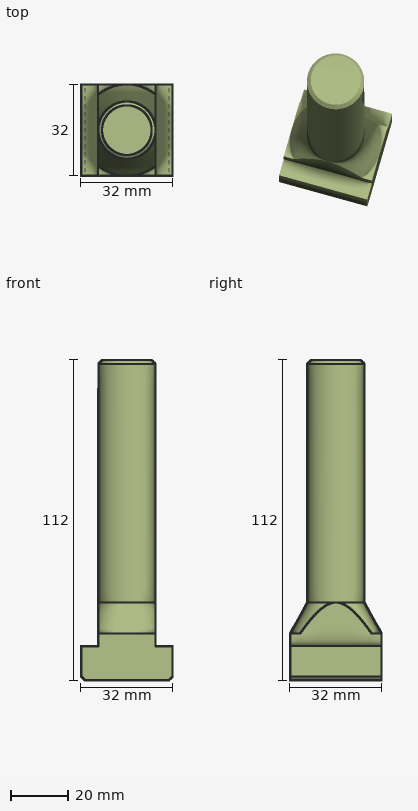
import cadquery as cq

total_height = 112.0
head_width = 32.0
head_height = 12.0
head_chamfer = 1.3
shank_diameter = 20.0
shank_chamfer = 1.3
neck_width = shank_diameter
neck_top = 16.5
cone_top = 27.2

head = (
    cq.Workplane("XY")
    .box(head_width, head_width, head_height, centered=(True, True, False))
    .edges("|Y and <Z")
    .chamfer(head_chamfer)
)

neck = (
    cq.Workplane("XY")
    .workplane(offset=head_height)
    .rect(neck_width, head_width)
    .extrude(neck_top - head_height)
)

cone = (
    cq.Workplane("XZ")
    .moveTo(0, neck_top)
    .lineTo(head_width / 2, neck_top)
    .lineTo(shank_diameter / 2, cone_top)
    .lineTo(0, cone_top)
    .close()
    .revolve(360, (0, 0, 0), (0, 1, 0))
)
cone_trim = cq.Workplane("XY").box(neck_width, head_width, cone_top, centered=(True, True, False))
cone = cone.intersect(cone_trim)

shank = (
    cq.Workplane("XY")
    .workplane(offset=cone_top)
    .circle(shank_diameter / 2)
    .extrude(total_height - cone_top)
    .faces(">Z")
    .chamfer(shank_chamfer)
)

result = head.union(neck).union(cone).union(shank)